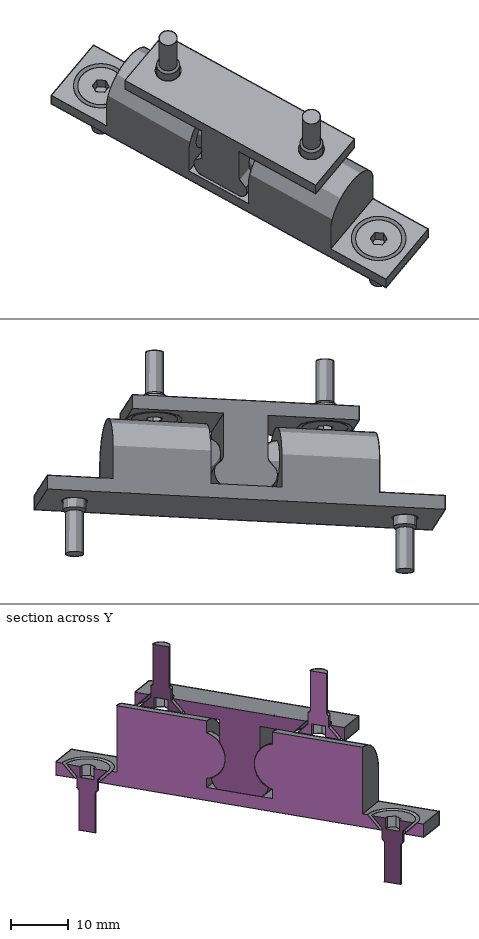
import cadquery as cq
import math

BASE_LENGTH = 70.0
BASE_WIDTH = 13.0
PLATE_THICKNESS = 2.5
BLOCK_OUTER_X = 23.45
BLOCK_INNER_X = 6.2
BLOCK_RADIUS = BASE_WIDTH / 2
BLOCK_AXIS_Z = PLATE_THICKNESS + 5.9

BALL_RADIUS = 4.35
BALL_CENTRE_X = BLOCK_INNER_X + 0.85

STRIKER_LENGTH = 39.9
STRIKER_WIDTH = 12.0
STRIKER_RISE = 15.5
STEM_HALF = 3.9
STEM_END_RISE = 4.9
BULB_HALF = 5.5
BULB_RISE = 2.3
BULB_RADIUS = 2.7
NECK_FILLET = 1.05

BASE_SCREW_X = 29.05
STRIKER_SCREW_X = 15.0
SINK_DIAMETER = 9.45
HOLE_DIAMETER = 4.5
HEAD_DIAMETER = 8.0
COLLAR_DIAMETER = 4.0
SHANK_DIAMETER = 3.15
HEAD_RECESS = 0.1
SINK_DEPTH = (SINK_DIAMETER - HOLE_DIAMETER) / 2
HEAD_DEPTH = (HEAD_DIAMETER - COLLAR_DIAMETER) / 2
COLLAR_REACH = 2.0
COLLAR_CHAMFER = (COLLAR_DIAMETER - SHANK_DIAMETER) / 2
SHANK_REACH = 9.5
HEX_FLATS = 2.5
HEX_DEPTH = 2.0

STRIKER_TOP = PLATE_THICKNESS + STRIKER_RISE
STRIKER_PLATE_BOTTOM = STRIKER_TOP - PLATE_THICKNESS


def revolve_about_z(points):
    """Turn a (radius, z) outline about the Z axis."""
    return cq.Workplane("XZ").polyline(points).close().revolve(360, (0, 0, 0), (0, 1, 0))


def place(shape, x, face_z, head_up):
    """Move a shape whose entry face is at z = 0; turn it over when the head is below."""
    if not head_up:
        shape = shape.rotate((0, 0, 0), (1, 0, 0), 180)
    return shape.translate((x, 0, face_z))


def make_screw_hole():
    """Solid of the countersunk hole, entered from z = 0 downwards."""
    return revolve_about_z([
        (0, 0),
        (SINK_DIAMETER / 2, 0),
        (HOLE_DIAMETER / 2, -SINK_DEPTH),
        (HOLE_DIAMETER / 2, -PLATE_THICKNESS),
        (0, -PLATE_THICKNESS),
    ])


def make_screw():
    """Countersunk screw with a hexagon socket, pointing down from z = 0."""
    head_bottom = -HEAD_RECESS - HEAD_DEPTH
    collar_end = -PLATE_THICKNESS - COLLAR_REACH
    tip = -PLATE_THICKNESS - SHANK_REACH
    screw = revolve_about_z([
        (0, -HEAD_RECESS),
        (HEAD_DIAMETER / 2, -HEAD_RECESS),
        (COLLAR_DIAMETER / 2, head_bottom),
        (COLLAR_DIAMETER / 2, collar_end + COLLAR_CHAMFER),
        (SHANK_DIAMETER / 2, collar_end),
        (SHANK_DIAMETER / 2, tip),
        (0, tip),
    ])
    socket = (
        cq.Workplane("XY", origin=(0, 0, -HEAD_RECESS - HEX_DEPTH))
        .polygon(6, HEX_FLATS / math.cos(math.pi / 6))
        .extrude(HEX_DEPTH)
        .rotate((0, 0, 0), (0, 0, 1), 30)
    )
    return screw.cut(socket)


def make_ball(side):
    """Ball whose poles lie on the X axis, centred on the block axis."""
    return (
        cq.Workplane("XZ")
        .moveTo(-BALL_RADIUS, 0)
        .threePointArc((0, BALL_RADIUS), (BALL_RADIUS, 0))
        .close()
        .revolve(360, (0, 0, 0), (1, 0, 0))
        .translate((side * BALL_CENTRE_X, 0, BLOCK_AXIS_Z))
    )


def make_block():
    """Right-hand block with a half-round top."""
    return (
        cq.Workplane("YZ", origin=(BLOCK_INNER_X, 0, 0))
        .moveTo(-BLOCK_RADIUS, 0)
        .lineTo(BLOCK_RADIUS, 0)
        .lineTo(BLOCK_RADIUS, BLOCK_AXIS_Z)
        .threePointArc((0, BLOCK_AXIS_Z + BLOCK_RADIUS), (-BLOCK_RADIUS, BLOCK_AXIS_Z))
        .close()
        .extrude(BLOCK_OUTER_X - BLOCK_INNER_X)
    )


def make_base():
    base = cq.Workplane("XY").box(BASE_LENGTH, BASE_WIDTH, PLATE_THICKNESS, centered=(True, True, False))
    block = make_block()
    base = base.union(block).union(block.mirror("YZ"))
    for side in (-1, 1):
        base = base.union(make_ball(side))
        base = base.cut(place(make_screw_hole(), side * BASE_SCREW_X, PLATE_THICKNESS, True))
    return base


def make_stem():
    """Stem and bulb, symmetric about the YZ plane."""
    bulb_centre_x = BULB_HALF - BULB_RADIUS
    bulb_z = PLATE_THICKNESS + BULB_RISE
    bulb_top_x = bulb_centre_x + BULB_RADIUS * math.cos(math.pi / 8)
    bulb_top_z = bulb_z + BULB_RADIUS * math.sin(math.pi / 8)
    foot_x = bulb_centre_x + math.sqrt(BULB_RADIUS**2 - BULB_RISE**2)
    stem_end_z = PLATE_THICKNESS + STEM_END_RISE
    half = (
        cq.Workplane("XZ", origin=(0, STRIKER_WIDTH / 2, 0))
        .moveTo(0, PLATE_THICKNESS)
        .lineTo(foot_x, PLATE_THICKNESS)
        .threePointArc((BULB_HALF, bulb_z), (bulb_top_x, bulb_top_z))
        .lineTo(STEM_HALF, stem_end_z)
        .lineTo(STEM_HALF, STRIKER_PLATE_BOTTOM)
        .lineTo(0, STRIKER_PLATE_BOTTOM)
        .close()
        .extrude(STRIKER_WIDTH)
    )
    neck_edge = cq.selectors.NearestToPointSelector((STEM_HALF, 0, stem_end_z))
    half = half.edges("|Y").edges(neck_edge).fillet(NECK_FILLET)
    return half.union(half.mirror("YZ"))


def make_striker():
    plate = (
        cq.Workplane("XY", origin=(0, 0, STRIKER_PLATE_BOTTOM))
        .box(STRIKER_LENGTH, STRIKER_WIDTH, PLATE_THICKNESS, centered=(True, True, False))
    )
    striker = plate.union(make_stem())
    for side in (-1, 1):
        striker = striker.cut(make_ball(side))
        hole = place(make_screw_hole(), side * STRIKER_SCREW_X, STRIKER_PLATE_BOTTOM, False)
        striker = striker.cut(hole)
    return striker


base = make_base()
striker = make_striker()
screws = []
for side in (-1, 1):
    screws.append(place(make_screw(), side * BASE_SCREW_X, PLATE_THICKNESS, True))
    screws.append(place(make_screw(), side * STRIKER_SCREW_X, STRIKER_PLATE_BOTTOM, False))

result = cq.Compound.makeCompound([base.val(), striker.val(), *[screw.val() for screw in screws]])